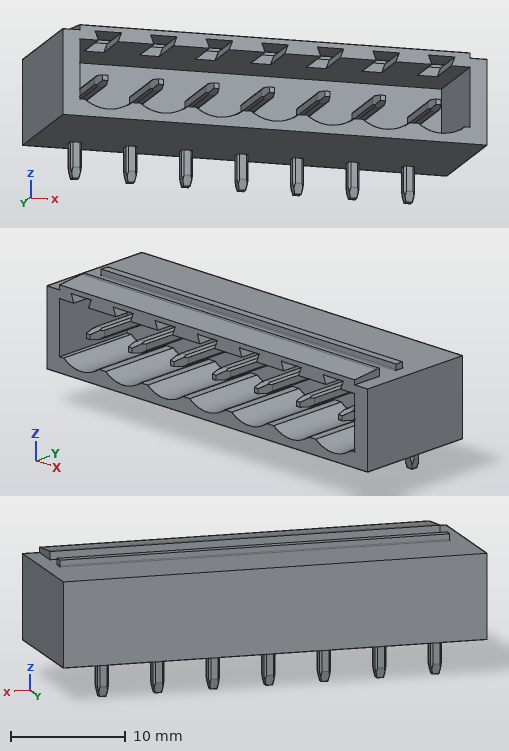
import cadquery as cq
import math

pole_count = 7
pole_pitch = 5.08
first_pole_x = -pole_pitch * (pole_count - 1) / 2

housing_length = 38.75
housing_depth = 12.0
housing_height = 7.7

wall = 1.55
cavity_depth = 8.53
cavity_roof = 6.9
crest_height = 1.5
scallop_bottom = 0.78
scallop_width = 4.22
cavity_length = housing_length - 2 * wall

lip_depth = 3.15
lip_flat = 0.35
lip_top = 8.45
lip_front_top = 8.18
rib_front = 5.25
rib_back = 6.05
rib_top = 8.3
rib_fillet = 0.08

slot_top_width = 2.4
slot_bottom_width = 1.8
slot_depth = 4.22

pin_width = 1.0
pin_bevel = 0.2
pin_tip_y = 0.9
pin_axis_z = 3.8
pin_leg_y = 9.95
pin_bottom = -3.18
front_taper = 1.5
front_tip_width = 0.45
leg_taper = 0.93
leg_tip_width = 0.6


def pole_positions():
    """X position of every pole."""
    return [first_pole_x + index * pole_pitch for index in range(pole_count)]


def make_lip():
    """Lip whose top slopes down toward the mating face."""
    outline = [
        (0, housing_height),
        (0, lip_front_top),
        (lip_depth - lip_flat, lip_top),
        (lip_depth, lip_top),
        (lip_depth, housing_height),
    ]
    return cq.Workplane("YZ").polyline(outline).close().extrude(cavity_length / 2, both=True)


def make_rib():
    """Straight rib behind the lip, with a small concave fillet along each side of its foot."""
    foot_front = rib_front - rib_fillet
    foot_back = rib_back + rib_fillet
    fillet_top = housing_height + rib_fillet
    mid_offset = rib_fillet * math.sqrt(0.5)
    mid_height = fillet_top - mid_offset
    outline = (
        cq.Workplane("YZ")
        .moveTo(foot_front, housing_height)
        .threePointArc((foot_front + mid_offset, mid_height), (rib_front, fillet_top))
        .lineTo(rib_front, rib_top)
        .lineTo(rib_back, rib_top)
        .lineTo(rib_back, fillet_top)
        .threePointArc((foot_back - mid_offset, mid_height), (foot_back, housing_height))
        .close()
    )
    return outline.extrude(cavity_length / 2, both=True)


def make_cavity():
    """Room for the plug, with one rounded trough in its floor below each pole."""
    half_length = cavity_length / 2
    outline = cq.Workplane("XZ").moveTo(-half_length, cavity_roof).lineTo(-half_length, crest_height)
    for x in pole_positions():
        outline = outline.lineTo(x - scallop_width / 2, crest_height)
        outline = outline.threePointArc((x, scallop_bottom), (x + scallop_width / 2, crest_height))
    outline = outline.lineTo(half_length, crest_height).lineTo(half_length, cavity_roof).close()
    return outline.extrude(-cavity_depth)


def make_slot(x):
    """Dovetail slot through the roof, covered by the lip and open behind it."""
    outline = [
        (x - slot_bottom_width / 2, cavity_roof),
        (x - slot_top_width / 2, housing_height),
        (x + slot_top_width / 2, housing_height),
        (x + slot_bottom_width / 2, cavity_roof),
    ]
    return cq.Workplane("XZ").polyline(outline).close().extrude(-slot_depth)


def make_bar(length, taper, tip_width):
    """Bevelled square bar along +Z from the origin, tapered to a square tip at its far end."""
    bar = cq.Workplane("XY").rect(pin_width, pin_width).extrude(length)
    bar = bar.edges("|Z").chamfer(pin_bevel)
    straight = length - taper
    envelope = cq.Workplane("XY").rect(pin_width, pin_width).extrude(straight)
    tip = (
        cq.Workplane("XY", origin=(0, 0, straight))
        .rect(pin_width, pin_width)
        .workplane(offset=taper)
        .rect(tip_width, tip_width)
        .loft()
    )
    return bar.intersect(envelope.union(tip))


def make_pin(x):
    """L-shaped pin: a contact bar toward -Y and a solder leg toward -Z, with a square corner."""
    half_width = pin_width / 2
    contact_length = pin_leg_y + half_width - pin_tip_y
    leg_length = pin_axis_z + half_width - pin_bottom
    contact = (
        make_bar(contact_length, front_taper, front_tip_width)
        .rotate((0, 0, 0), (1, 0, 0), 90)
        .translate((x, pin_leg_y + half_width, pin_axis_z))
    )
    leg = (
        make_bar(leg_length, leg_taper, leg_tip_width)
        .rotate((0, 0, 0), (1, 0, 0), 180)
        .translate((x, pin_leg_y, pin_axis_z + half_width))
    )
    return contact.union(leg)


def make_housing(pins):
    """Housing with its lip, rib, cavity and slots, and a matching hole for each pin."""
    block = cq.Workplane("XY").box(
        housing_length, housing_depth, housing_height, centered=(True, False, False)
    )
    body = block.union(make_lip()).union(make_rib()).cut(make_cavity())
    for x in pole_positions():
        body = body.cut(make_slot(x))
    for pin in pins:
        body = body.cut(pin)
    return body


pins = [make_pin(x) for x in pole_positions()]
housing = make_housing(pins)

result = cq.Compound.makeCompound([housing.val(), *[pin.val() for pin in pins]])